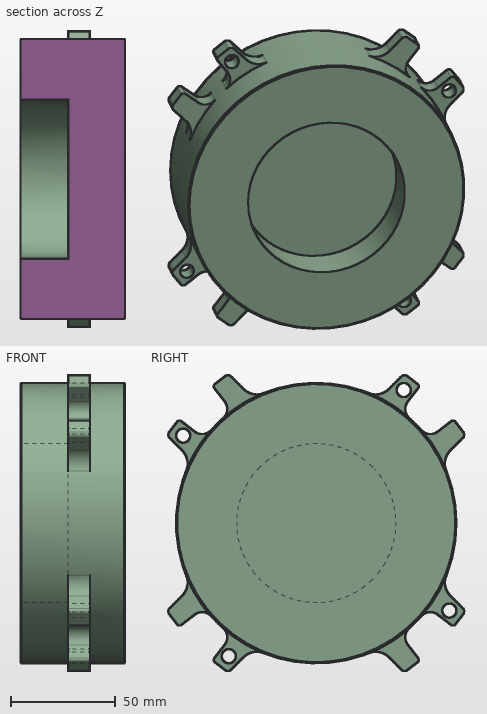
import cadquery as cq
import math

body_radius = 67.0
body_length = 50.0
edge_chamfer = 0.5
bore_radius = 38.0
bore_depth = 22.8

tab_start = bore_depth
tab_thickness = 10.5
pair_count = 4
pair_spacing = 360 / pair_count
first_pair_angle = 45

outer_side = 20.8
inner_corner_reach = 81.4
inner_corner_offset = 11.3
inner_lean = math.radians(7.3)
root_reach = 56.5
outer_tip_fillet = 2.1
inner_tip_fillet = 1.4
outer_root_fillet = 9.0
inner_root_fillet = 6.0

hole_diameter = 6.6
hole_reach = 74.5
hole_offset = 15.4


def inner_side_at(reach):
    """Distance of the inner side from the pair's centre line."""
    return inner_corner_offset - (inner_corner_reach - reach) * math.tan(inner_lean)


inner_tip = (inner_corner_reach, inner_corner_offset)
outer_tip = (
    inner_corner_reach - (outer_side - inner_corner_offset) * math.tan(inner_lean),
    outer_side,
)
outer_root = (math.sqrt(body_radius**2 - outer_side**2), outer_side)
inner_root = (body_radius, inner_side_at(body_radius))


def make_tab():
    """One plain tab with a rounded tip and a square root."""
    plane = cq.Workplane("YZ", origin=(tab_start, 0, 0))
    blank = (
        plane.moveTo(root_reach, inner_side_at(root_reach))
        .lineTo(*inner_tip)
        .lineTo(*outer_tip)
        .lineTo(root_reach, outer_side)
        .close()
        .extrude(tab_thickness)
    )
    blank = fillet_edge_at(blank, outer_tip, outer_tip_fillet)
    return fillet_edge_at(blank, inner_tip, inner_tip_fillet)


def fillet_edge_at(solid, corner, radius):
    """Round the X-parallel edge nearest to a (Y, Z) corner."""
    middle = (tab_start + tab_thickness / 2, *corner)
    return solid.edges("|X").edges(cq.selectors.NearestToPointSelector(middle)).fillet(radius)


def drill(tab):
    """Cut the fixing hole through a tab."""
    hole = (
        cq.Workplane("YZ", origin=(tab_start, 0, 0))
        .center(hole_reach, hole_offset)
        .circle(hole_diameter / 2)
        .extrude(tab_thickness)
    )
    return tab.cut(hole)


def turned(corner, side, angle):
    """A tab corner on the given side of its pair, turned about X to the pair's angle."""
    reach, offset = corner
    turn = math.radians(angle)
    across = side * offset
    return (
        reach * math.cos(turn) - across * math.sin(turn),
        reach * math.sin(turn) + across * math.cos(turn),
    )


plain_tab = make_tab()
drilled_tab = drill(plain_tab)
mirrored_tab = plain_tab.mirror("XY")
pair_angles = [first_pair_angle + index * pair_spacing for index in range(pair_count)]

result = cq.Workplane("YZ").circle(body_radius).extrude(body_length).edges().chamfer(edge_chamfer)
for angle in pair_angles:
    for tab in (drilled_tab, mirrored_tab):
        result = result.union(tab.rotate((0, 0, 0), (1, 0, 0), angle))

for angle in pair_angles:
    for side in (1, -1):
        result = fillet_edge_at(result, turned(outer_root, side, angle), outer_root_fillet)
        result = fillet_edge_at(result, turned(inner_root, side, angle), inner_root_fillet)

bore = cq.Workplane("YZ").circle(bore_radius).extrude(bore_depth)
result = result.cut(bore)